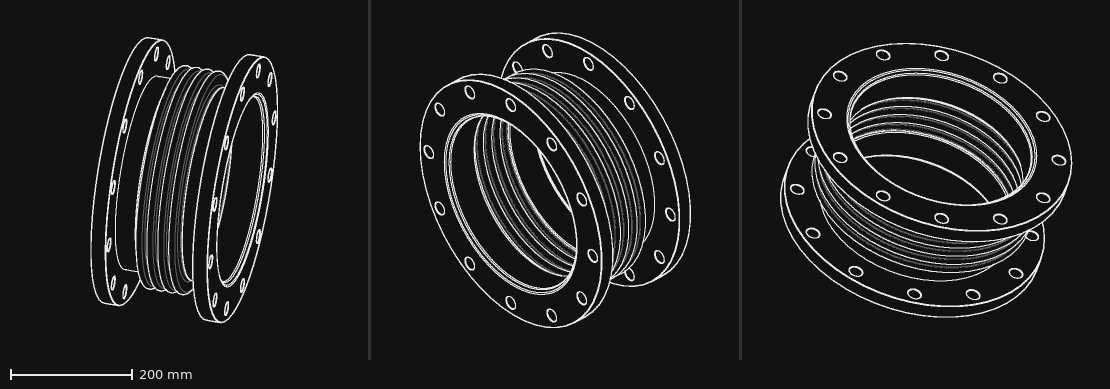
import cadquery as cq


total_length = 200.0

flange_radius = 445 / 2
flange_thickness = 26.0
bolt_circle_radius = 400.5 / 2
bolt_hole_diameter = 22.0
bolt_count = 12
edge_chamfer = 1.0

pipe_outer_radius = 324.0 / 2
pipe_inner_radius = 309.5 / 2
pipe_end_x = 40.0

mouth_depth = 7.5
mouth_radius = pipe_inner_radius + mouth_depth
mouth_bevel_short = 1.1
mouth_bevel_long = 2.5

convolution_count = 4
convolution_pitch = 18.5
root_outer_radius = 321.5 / 2
root_inner_radius = 317.5 / 2
crest_outer_radius = 374.5 / 2
sheet_thickness = root_outer_radius - root_inner_radius
crest_inner_radius = crest_outer_radius - sheet_thickness
crest_outer_bend = 5.1
root_outer_bend = convolution_pitch / 2 - crest_outer_bend
crest_inner_bend = crest_outer_bend - sheet_thickness
root_inner_bend = root_outer_bend + sheet_thickness

face_x = total_length / 2
flange_back_x = face_x - flange_thickness


def revolve_about_x(profile):
    """Turn a closed XY profile, with Y as the radius, about the X axis."""
    return profile.revolve(360, (0, 0, 0), (1, 0, 0))


def bolt_hole():
    """Cutter for one bolt hole at the top of the flange, flared at both faces."""
    axis_z = bolt_circle_radius
    hole_radius = bolt_hole_diameter / 2
    flare_radius = hole_radius + edge_chamfer
    profile = (
        cq.Workplane("XZ")
        .moveTo(flange_back_x, axis_z)
        .lineTo(flange_back_x, axis_z + flare_radius)
        .lineTo(flange_back_x + edge_chamfer, axis_z + hole_radius)
        .lineTo(face_x - edge_chamfer, axis_z + hole_radius)
        .lineTo(face_x, axis_z + flare_radius)
        .lineTo(face_x, axis_z)
        .close()
    )
    return profile.revolve(360, (0, axis_z, 0), (1, axis_z, 0))


def flanged_pipe():
    """Flange and pipe on the +X side, with three bevels at the bore mouth."""
    profile = (
        cq.Workplane("XY")
        .moveTo(pipe_end_x, pipe_inner_radius)
        .lineTo(pipe_end_x, pipe_outer_radius)
        .lineTo(flange_back_x, pipe_outer_radius)
        .lineTo(flange_back_x, flange_radius - edge_chamfer)
        .lineTo(flange_back_x + edge_chamfer, flange_radius)
        .lineTo(face_x - edge_chamfer, flange_radius)
        .lineTo(face_x, flange_radius - edge_chamfer)
        .lineTo(face_x, mouth_radius)
        .lineTo(face_x - mouth_bevel_short, mouth_radius - mouth_bevel_long)
        .lineTo(face_x - mouth_depth + mouth_bevel_long, pipe_inner_radius + mouth_bevel_short)
        .lineTo(face_x - mouth_depth, pipe_inner_radius)
        .close()
    )
    body = revolve_about_x(profile)
    cutter = bolt_hole()
    for index in range(bolt_count):
        angle = index * 360 / bolt_count
        body = body.cut(cutter.rotate((0, 0, 0), (1, 0, 0), angle))
    return body


def convolved_body(root_radius, crest_radius, root_bend, crest_bend):
    """Solid of revolution whose rim follows one side of the corrugated sheet."""
    bellows_end = convolution_count * convolution_pitch / 2
    profile = (
        cq.Workplane("XY")
        .moveTo(-pipe_end_x, 0)
        .lineTo(-pipe_end_x, root_radius)
        .lineTo(-bellows_end, root_radius)
    )
    for index in range(convolution_count):
        crest_x = (index - (convolution_count - 1) / 2) * convolution_pitch
        root_x = crest_x + convolution_pitch / 2
        rise_x = crest_x - crest_bend
        fall_x = crest_x + crest_bend
        profile = (
            profile
            .radiusArc((rise_x, root_radius + root_bend), -root_bend)
            .lineTo(rise_x, crest_radius - crest_bend)
            .threePointArc((crest_x, crest_radius), (fall_x, crest_radius - crest_bend))
            .lineTo(fall_x, root_radius + root_bend)
            .radiusArc((root_x, root_radius), -root_bend)
        )
    profile = profile.lineTo(pipe_end_x, root_radius).lineTo(pipe_end_x, 0).close()
    return revolve_about_x(profile)


def bellows():
    """Corrugated sleeve of constant sheet thickness."""
    outside = convolved_body(
        root_outer_radius, crest_outer_radius, root_outer_bend, crest_outer_bend
    )
    inside = convolved_body(
        root_inner_radius, crest_inner_radius, root_inner_bend, crest_inner_bend
    )
    return outside.cut(inside)


right_end = flanged_pipe()
left_end = right_end.mirror("YZ")
result = bellows().union(right_end).union(left_end)